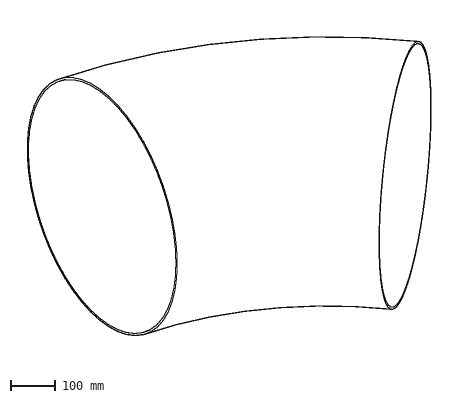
import cadquery as cq
import math

outer_diameter = 610.0
wall = 5.0
bend_angle = 45.0
length_y = 862.0

outer_radius = outer_diameter / 2
inner_radius = outer_radius - wall
bend_radius = length_y / math.sin(math.radians(bend_angle)) - outer_radius

inlet_ring = cq.Workplane("XZ").circle(outer_radius).circle(inner_radius)
result = inlet_ring.revolve(bend_angle, (bend_radius, 0, 0), (bend_radius, -1, 0))